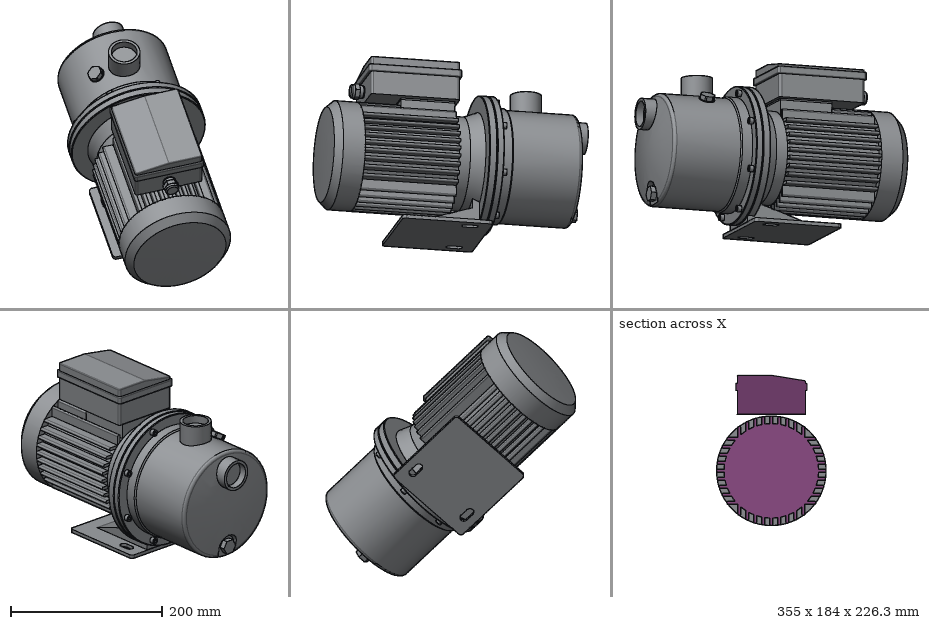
import cadquery as cq
import math


DOME_APEX_X = 10.0
CORNER_RADIUS = 4.3
CYLINDER_START_X = 23.5
COLLAR_STEP_X = 113.5
COLLAR_START_X = 115.5
FLANGE_START_X = 129.5
JOINT_X = 139.0
CASING_DIAMETER = 150.0
COLLAR_DIAMETER = 154.0
FLANGE_DIAMETER = 184.0
FLANGE_CHAMFER = 1.0

PORT_DIAMETER = 41.5
PORT_BORE = 33.7
PORT_BORE_DEPTH = 10.5
SUCTION_Z = 47.2
DISCHARGE_X = 80.0
DISCHARGE_TOP_Z = 100.5

BOLT_COUNT = 8
BOLT_CIRCLE_DIAMETER = 168.0
BOLT_HEAD_DIAMETER = 8.5
BOLT_HEAD_HEIGHT = 5.7
SOCKET_WIDTH = 4.3
SOCKET_DEPTH = 3.0

PLUG_WIDTH = 18.0
FILLER_TILT = 30
FILLER_HEAD_RADIUS = 82.0
FILLER_HEAD_HEIGHT = 6.5
FILLER_CORNER_DIAMETER = 20.0
FILLER_COLLAR_DIAMETER = 21.0
FILLER_TRIM = 3.5
DRAIN_Z = -59.3
DRAIN_HEAD_X = 12.0
DRAIN_SEAT_X = 20.0
DRAIN_SEAT_RADIUS = 14.0
DRAIN_SEAT_TAPER = 22

LANTERN_FLANGE_END_X = 149.8
CONE_END_X = 169.0
CONE_DIAMETER = 139.0
NECK_DIAMETER = 125.0

FRAME_START_X = 184.2
FRAME_END_X = 313.5
COVER_CHAMFER_X = 343.3
COVER_EDGE_X = 353.5
COVER_END_X = 355.0
MOTOR_DIAMETER = 145.0
COVER_END_DIAMETER = 126.5
FIN_THICKNESS = 4.3
FINS_PER_HALF = 4
FIN_SPAN = 84.5
FIN_PITCH = FIN_SPAN / (2 * FINS_PER_HALF)
PEDESTAL_LENGTH = 72.8
PEDESTAL_WIDTH = 71.0
PEDESTAL_TOP_Z = MOTOR_DIAMETER / 2

BOX_START_X = 179.3
BOX_END_X = 299.5
BOX_WIDTH = 91.5
BOX_BOTTOM_Z = 74.5
RIM_BOTTOM_Z = 105.8
RIM_TOP_Z = 115.7
RIM_END_OVERHANG = 2.5
RIM_SIDE_OVERHANG = 1.5
BOX_EDGE_RADIUS = 1.0
BOX_TOP_Z = 126.5
LID_FRONT_Z = 119.0
BOX_CORNER_RADIUS = 3.2

GLAND_Z = 90.5
GLAND_NECK_DIAMETER = 15.5
GLAND_STEM_DIAMETER = 17.0
GLAND_CAP_DIAMETER = 18.0
GLAND_NECK_END_X = 301.0
GLAND_STEM_END_X = 306.0
GLAND_NUT_END_X = 312.5
GLAND_END_X = 317.7
GLAND_NUT_WIDTH = 18.0
GLAND_CAP_CHAMFER = 1.8

FOOT_BOTTOM_Z = -99.8
PLATE_THICKNESS = 5.0
PLATE_START_X = 138.0
PLATE_END_X = 260.0
PLATE_WIDTH = 125.5
PLATE_CENTER_Y = -2.0
PLATE_CORNER_RADIUS = 4.5
WEB_WIDTH = 65.3
WEB_SHOULDER_X = 159.8
WEB_SHOULDER_Z = -70.0
WEB_END_X = 238.2
SLOT_X = 165.8
SLOT_SPACING = 93.7
SLOT_WIDTH = 10.3
SLOT_LENGTH = 21.5


def revolve_about_shaft(profile):
    """Turn a closed (x, radius) outline about the X axis."""
    return profile.close().revolve(360, (0, 0, 0), (1, 0, 0))


def cylinder_along_x(start_x, end_x, diameter, y=0, z=0):
    return cq.Workplane("YZ", origin=(start_x, y, z)).circle(diameter / 2).extrude(end_x - start_x)


def hexagon_along_x(start_x, end_x, width, y=0, z=0):
    """Hexagonal bar along X with its corners toward +Y and -Y; width is across the flats."""
    across_corners = width / math.cos(math.radians(30))
    bar = cq.Workplane("YZ", origin=(start_x, y, z)).polygon(6, across_corners)
    return bar.extrude(end_x - start_x)


def block(x_range, y_range, z_range):
    size = [end - start for start, end in (x_range, y_range, z_range)]
    corner = (x_range[0], y_range[0], z_range[0])
    return cq.Workplane().box(*size, centered=False).translate(corner)


def make_casing_shell():
    """Domed drum, collar and bolting flange, turned as one solid."""
    drum = CASING_DIAMETER / 2
    collar = COLLAR_DIAMETER / 2
    flange = FLANGE_DIAMETER / 2
    dome_edge_x = CYLINDER_START_X - CORNER_RADIUS
    dome_edge_radius = drum - CORNER_RADIUS
    dome_height = dome_edge_x - DOME_APEX_X
    sphere_radius = (dome_edge_radius**2 + dome_height**2) / (2 * dome_height)
    mid_radius = dome_edge_radius / 2
    mid_x = DOME_APEX_X + sphere_radius - math.sqrt(sphere_radius**2 - mid_radius**2)
    corner_mid = CORNER_RADIUS * math.sin(math.radians(45))
    profile = (
        cq.Workplane("XY")
        .moveTo(DOME_APEX_X, 0)
        .threePointArc((mid_x, mid_radius), (dome_edge_x, dome_edge_radius))
        .threePointArc(
            (CYLINDER_START_X - corner_mid, dome_edge_radius + corner_mid), (CYLINDER_START_X, drum)
        )
        .lineTo(COLLAR_STEP_X, drum)
        .lineTo(COLLAR_START_X, collar)
        .lineTo(FLANGE_START_X, collar)
        .lineTo(FLANGE_START_X, flange - FLANGE_CHAMFER)
        .lineTo(FLANGE_START_X + FLANGE_CHAMFER, flange)
        .lineTo(JOINT_X - FLANGE_CHAMFER, flange)
        .lineTo(JOINT_X, flange - FLANGE_CHAMFER)
        .lineTo(JOINT_X, 0)
    )
    return revolve_about_shaft(profile)


def add_ports(casing):
    """Suction port on the dome and discharge port on top, each with a blind bore."""
    suction = cylinder_along_x(0, CYLINDER_START_X, PORT_DIAMETER, z=SUCTION_Z)
    suction_bore = cylinder_along_x(0, PORT_BORE_DEPTH, PORT_BORE, z=SUCTION_Z)
    discharge_top = cq.Workplane("XY", origin=(DISCHARGE_X, 0, DISCHARGE_TOP_Z))
    discharge = discharge_top.circle(PORT_DIAMETER / 2).extrude(-DISCHARGE_TOP_Z)
    discharge_bore = discharge_top.circle(PORT_BORE / 2).extrude(-PORT_BORE_DEPTH)
    return casing.union(suction).union(discharge).cut(suction_bore).cut(discharge_bore)


def cut_drain_seat(casing):
    """U-shaped flat in the dome, open at the bottom, with flared walls."""
    seat_length = CASING_DIAMETER / 4
    seat = (
        cq.Workplane("YZ", origin=(DRAIN_SEAT_X, 0, DRAIN_Z))
        .moveTo(-DRAIN_SEAT_RADIUS, 0)
        .threePointArc((0, DRAIN_SEAT_RADIUS), (DRAIN_SEAT_RADIUS, 0))
        .lineTo(DRAIN_SEAT_RADIUS, -seat_length)
        .lineTo(-DRAIN_SEAT_RADIUS, -seat_length)
        .close()
        .extrude(DOME_APEX_X - DRAIN_SEAT_X, taper=-DRAIN_SEAT_TAPER)
    )
    return casing.cut(seat)


def add_bolts(casing):
    """Socket-head bolts on the flange, straddling the vertical centre line."""
    head_x = FLANGE_START_X - BOLT_HEAD_HEIGHT
    for index in range(BOLT_COUNT):
        angle = 2 * math.pi * (index + 0.5) / BOLT_COUNT
        y = BOLT_CIRCLE_DIAMETER / 2 * math.cos(angle)
        z = BOLT_CIRCLE_DIAMETER / 2 * math.sin(angle)
        head = cylinder_along_x(head_x, FLANGE_START_X, BOLT_HEAD_DIAMETER, y, z)
        socket = hexagon_along_x(head_x, head_x + SOCKET_DEPTH, SOCKET_WIDTH, y, z)
        casing = casing.union(head.cut(socket))
    return casing


def make_casing(shell):
    return add_bolts(cut_drain_seat(add_ports(shell)))


def make_filler_plug(shell):
    """Round-cornered hexagon head on a collar that fits the drum, tilted from vertical toward -Y."""
    tilt = math.radians(FILLER_TILT)
    outward = cq.Vector(0, -math.sin(tilt), math.cos(tilt))
    head_plane = cq.Plane(
        origin=(DISCHARGE_X, outward.y * FILLER_HEAD_RADIUS, outward.z * FILLER_HEAD_RADIUS),
        xDir=(1, 0, 0),
        normal=outward,
    )
    across_corners = PLUG_WIDTH / math.cos(math.radians(30))
    head = cq.Workplane(head_plane).polygon(6, across_corners).extrude(-FILLER_HEAD_HEIGHT)
    corner_radius = FILLER_CORNER_DIAMETER / 2
    rounded_bar = cq.Workplane(head_plane).circle(corner_radius).extrude(-FILLER_HEAD_HEIGHT)
    depth_to_drum = FILLER_HEAD_RADIUS - CASING_DIAMETER / 2 + FILLER_TRIM
    collar = (
        cq.Workplane(head_plane)
        .workplane(offset=-FILLER_HEAD_HEIGHT)
        .circle(FILLER_COLLAR_DIAMETER / 2)
        .extrude(FILLER_HEAD_HEIGHT - depth_to_drum)
    )
    return head.intersect(rounded_bar).union(collar).cut(shell)


def make_drain_plug():
    return hexagon_along_x(DRAIN_HEAD_X, DRAIN_SEAT_X, PLUG_WIDTH, z=DRAIN_Z)


def make_lantern():
    """Flange, cone and neck that carry the motor."""
    flange = FLANGE_DIAMETER / 2
    neck = NECK_DIAMETER / 2
    profile = (
        cq.Workplane("XY")
        .moveTo(JOINT_X, 0)
        .lineTo(JOINT_X, flange - FLANGE_CHAMFER)
        .lineTo(JOINT_X + FLANGE_CHAMFER, flange)
        .lineTo(LANTERN_FLANGE_END_X - FLANGE_CHAMFER, flange)
        .lineTo(LANTERN_FLANGE_END_X, flange - FLANGE_CHAMFER)
        .lineTo(LANTERN_FLANGE_END_X, CONE_DIAMETER / 2)
        .lineTo(CONE_END_X, neck)
        .lineTo(FRAME_START_X, neck)
        .lineTo(FRAME_START_X, 0)
    )
    return revolve_about_shaft(profile)


def make_finned_frame():
    """Round core with upright and level fins whose rounded tips lie on the motor diameter."""
    length = FRAME_END_X - FRAME_START_X
    frame = cylinder_along_x(FRAME_START_X, FRAME_END_X, NECK_DIAMETER)
    section = cq.Workplane("YZ", origin=(FRAME_START_X, 0, 0))
    for index in range(-FINS_PER_HALF, FINS_PER_HALF + 1):
        offset = index * FIN_PITCH
        tip_to_tip = 2 * math.sqrt((MOTOR_DIAMETER / 2) ** 2 - offset**2)
        level_fins = section.center(0, offset).slot2D(tip_to_tip, FIN_THICKNESS).extrude(length)
        upright_fins = section.center(offset, 0).slot2D(tip_to_tip, FIN_THICKNESS, 90).extrude(length)
        frame = frame.union(level_fins).union(upright_fins)
    return frame


def make_fan_cover():
    """Cover with a conical shoulder and a shallow domed end."""
    outer = MOTOR_DIAMETER / 2
    end = COVER_END_DIAMETER / 2
    dome_height = COVER_END_X - COVER_EDGE_X
    sphere_radius = (end**2 + dome_height**2) / (2 * dome_height)
    mid_x = COVER_END_X - sphere_radius + math.sqrt(sphere_radius**2 - (end / 2) ** 2)
    profile = (
        cq.Workplane("XY")
        .moveTo(FRAME_END_X, 0)
        .lineTo(FRAME_END_X, outer)
        .lineTo(COVER_CHAMFER_X, outer)
        .lineTo(COVER_EDGE_X, end)
        .threePointArc((mid_x, end / 2), (COVER_END_X, 0))
    )
    return revolve_about_shaft(profile)


def plinth_block(bottom_z, top_z):
    """Slice of the rectangular column that carries the terminal box."""
    x_range = (FRAME_START_X, FRAME_START_X + PEDESTAL_LENGTH)
    return block(x_range, (-PEDESTAL_WIDTH / 2, PEDESTAL_WIDTH / 2), (bottom_z, top_z))


def make_motor():
    pedestal = plinth_block(0, PEDESTAL_TOP_Z)
    return make_finned_frame().union(pedestal).union(make_fan_cover())


def make_terminal_box():
    """Box on a plinth, with an overhanging rim and a lid that slopes down toward -Y."""
    half = BOX_WIDTH / 2
    box = block((BOX_START_X, BOX_END_X), (-half, half), (BOX_BOTTOM_Z, BOX_TOP_Z))
    box = box.edges("|Z").fillet(BOX_CORNER_RADIUS)
    lid_slope = (
        cq.Workplane("YZ", origin=(BOX_START_X, 0, 0))
        .polyline([(0, BOX_TOP_Z), (-half, LID_FRONT_Z), (-half, BOX_TOP_Z)])
        .close()
        .extrude(BOX_END_X - BOX_START_X)
    )
    box = box.cut(lid_slope)
    lid_rim_edges = box.edges().filter(
        lambda edge: edge.Center().z > RIM_TOP_Z and abs(edge.Center().y) > BOX_EDGE_RADIUS
    )
    box = lid_rim_edges.fillet(BOX_EDGE_RADIUS)
    rim = block(
        (BOX_START_X - RIM_END_OVERHANG, BOX_END_X + RIM_END_OVERHANG),
        (-half - RIM_SIDE_OVERHANG, half + RIM_SIDE_OVERHANG),
        (RIM_BOTTOM_Z, RIM_TOP_Z),
    )
    rim = rim.edges("|Z").fillet(BOX_CORNER_RADIUS).faces("|Z").edges().fillet(BOX_EDGE_RADIUS)
    return box.union(rim).union(plinth_block(PEDESTAL_TOP_Z, BOX_BOTTOM_Z))


def make_gland():
    neck = cylinder_along_x(BOX_END_X, GLAND_NECK_END_X, GLAND_NECK_DIAMETER, z=GLAND_Z)
    stem = cylinder_along_x(GLAND_NECK_END_X, GLAND_STEM_END_X, GLAND_STEM_DIAMETER, z=GLAND_Z)
    nut = hexagon_along_x(GLAND_STEM_END_X, GLAND_NUT_END_X, GLAND_NUT_WIDTH, z=GLAND_Z)
    cap = cylinder_along_x(GLAND_NUT_END_X, GLAND_END_X, GLAND_CAP_DIAMETER, z=GLAND_Z)
    cap = cap.faces(">X").chamfer(GLAND_CAP_CHAMFER)
    return neck.union(stem).union(nut).union(cap)


def make_foot(lantern):
    """Slotted base plate with a wedge-shaped web shaped to the underside of the lantern."""
    plate_top_z = FOOT_BOTTOM_Z + PLATE_THICKNESS
    plate_sides = (PLATE_CENTER_Y - PLATE_WIDTH / 2, PLATE_CENTER_Y + PLATE_WIDTH / 2)
    plate = block((PLATE_START_X, PLATE_END_X), plate_sides, (FOOT_BOTTOM_Z, plate_top_z))
    slots = (
        cq.Workplane("XY", origin=(SLOT_X, PLATE_CENTER_Y, FOOT_BOTTOM_Z))
        .pushPoints([(0, -SLOT_SPACING / 2), (0, SLOT_SPACING / 2)])
        .slot2D(SLOT_LENGTH, SLOT_WIDTH)
        .extrude(PLATE_THICKNESS)
    )
    plate = plate.edges("|Z").fillet(PLATE_CORNER_RADIUS).cut(slots)
    web_top_z = WEB_SHOULDER_Z / 2
    web = (
        cq.Workplane("XZ", origin=(0, WEB_WIDTH / 2, 0))
        .moveTo(JOINT_X, plate_top_z)
        .lineTo(JOINT_X, web_top_z)
        .lineTo(WEB_SHOULDER_X, web_top_z)
        .lineTo(WEB_SHOULDER_X, WEB_SHOULDER_Z)
        .lineTo(WEB_END_X, plate_top_z)
        .close()
        .extrude(WEB_WIDTH)
    )
    return plate.union(web.cut(lantern))


shell = make_casing_shell()
casing = make_casing(shell)
filler_plug = make_filler_plug(shell)
drain_plug = make_drain_plug()
lantern = make_lantern()
motor = make_motor()
terminal_box = make_terminal_box()
gland = make_gland()
foot = make_foot(lantern)

bodies = [casing, filler_plug, drain_plug, lantern, motor, terminal_box, gland, foot]
result = cq.Compound.makeCompound([body.solids().val() for body in bodies])